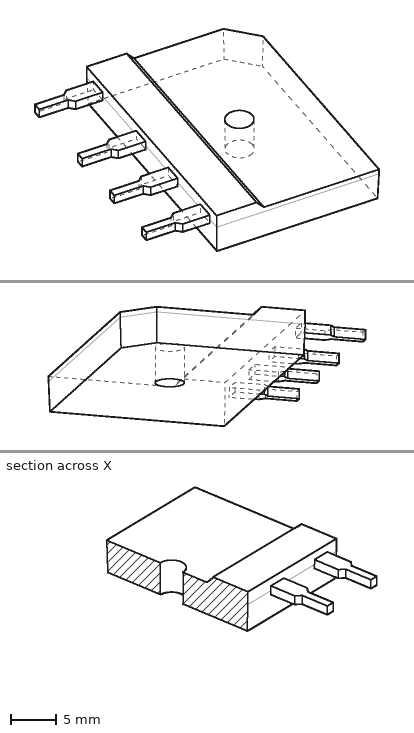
import cadquery as cq


body_width = 30.3
body_depth = 20.3
body_height = 5.1
corner_cut = 3.2
parting_height = 3.5
draft_angle = 2

bar_rise = 1.0
bar_depth = 5.0
ramp_run = 0.9
deck_height = body_height - bar_rise

hole_diameter = 3.2
hole_from_front = 10.97

lead_length = 7.6
lead_thickness = 1.12
lead_width = 2.2
lead_tip_width = 1.03
shoulder_distance = 3.4
shoulder_run = (lead_width - lead_tip_width) / 2
lead_wide_pitch = 10
lead_narrow_pitch = 7.48
first_lead_x = -(lead_wide_pitch + 2 * lead_narrow_pitch) / 2
lead_positions = [first_lead_x] + [
    first_lead_x + lead_wide_pitch + i * lead_narrow_pitch for i in range(3)
]


def body_outline(height):
    """Rectangle with the back left corner cut at 45 degrees, drawn at the given height."""
    half_width = body_width / 2
    return (
        cq.Workplane("XY", origin=(0, 0, height))
        .moveTo(-half_width, 0)
        .lineTo(half_width, 0)
        .lineTo(half_width, body_depth)
        .lineTo(-half_width + corner_cut, body_depth)
        .lineTo(-half_width, body_depth - corner_cut)
        .close()
    )


def make_body():
    """Drafted lower half, straight upper half and the ramped front bar."""
    lower = body_outline(parting_height).extrude(-parting_height, taper=draft_angle)
    upper = body_outline(parting_height).extrude(deck_height - parting_height)
    bar = (
        cq.Workplane("YZ")
        .moveTo(0, parting_height)
        .lineTo(bar_depth + ramp_run, parting_height)
        .lineTo(bar_depth + ramp_run, deck_height)
        .lineTo(bar_depth, body_height)
        .lineTo(0, body_height)
        .close()
        .extrude(body_width / 2, both=True)
    )
    return lower.union(upper).union(bar)


def make_hole():
    """Cylinder that passes through the whole body."""
    return (
        cq.Workplane("XY")
        .center(0, hole_from_front)
        .circle(hole_diameter / 2)
        .extrude(body_height)
    )


def make_lead(x):
    """Flat lead flush with the deck, stepping down to a narrow tip."""
    root_y = bar_depth / 2
    shoulder_y = -shoulder_distance
    neck_y = shoulder_y - shoulder_run
    return (
        cq.Workplane("XY", origin=(x, 0, deck_height))
        .moveTo(-lead_width / 2, root_y)
        .lineTo(-lead_width / 2, shoulder_y)
        .lineTo(-lead_tip_width / 2, neck_y)
        .lineTo(-lead_tip_width / 2, -lead_length)
        .lineTo(lead_tip_width / 2, -lead_length)
        .lineTo(lead_tip_width / 2, neck_y)
        .lineTo(lead_width / 2, shoulder_y)
        .lineTo(lead_width / 2, root_y)
        .close()
        .extrude(-lead_thickness)
    )


result = make_body().cut(make_hole())
for lead_x in lead_positions:
    result = result.union(make_lead(lead_x))